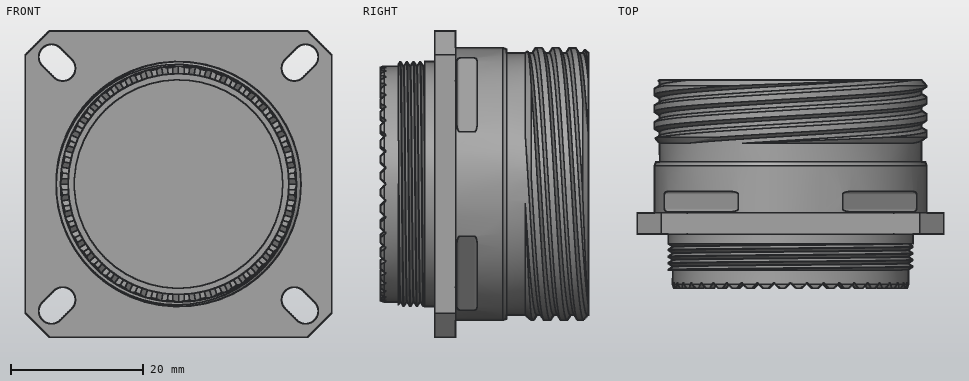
import cadquery as cq
import math

flange_side = 46.3
flange_thickness = 3.2
corner_chamfer = 3.65
slot_centre = 18.35
slot_radius = 1.9
slot_run = 2.4

body_radius = 20.6
body_length = 7.7
body_chamfer_radial = 0.25
body_chamfer_axial = 0.6
barrel_radius = 19.8
barrel_length = 20.1
body_start = flange_thickness
body_end = body_start + body_length
coupling_end = body_start + barrel_length

flat_distance = 19.05
flat_width = 3.05
flat_gap = 0.2
flat_fillet = 0.45

coupling_starts = 3
coupling_lead = 7.62
coupling_pitch = coupling_lead / coupling_starts
coupling_thread_length = 9.6
coupling_base_width = 1.9
coupling_crest_width = 0.9
coupling_runout = 0.93
coupling_crest_offset = 0.55

neck_radius = 18.5
neck_length = 1.5
front_radius = 17.83
front_length = 8.2
front_chamfer_radial = 0.2
front_chamfer_axial = 0.6
front_crest_radius = 18.47
front_thread_pitch = 1.0
front_thread_end = 5.45
front_base_width = 0.93
front_crest_width = 0.1
front_crest_offset = 2.9

tooth_count = 44
tooth_depth = 0.85
rim_inner_radius = 16.65
insert_radius = 15.75
ring_floor_depth = 1.4
insert_depth = 0.75

ridge_overshoot = 0.05
clearance = 0.45


def cylinder(radius, start, end):
    """Cylinder on the Y axis between two Y positions."""
    return cq.Workplane("XZ", origin=(0, start, 0)).circle(radius).extrude(start - end)


def thread_ridge(root, crest, base_width, crest_width, lead, start, end):
    """Right-handed ridge around the Y axis that begins on the +X side.

    Its flanks run on past the root, into the core, and past the crest, to be trimmed there.
    """
    flank_run = (base_width - crest_width) / 2 / (crest - root)
    foot = root - ridge_overshoot
    top = crest + ridge_overshoot
    half_foot = base_width / 2 + flank_run * ridge_overshoot
    half_top = crest_width / 2 - flank_run * ridge_overshoot
    outline = [(foot, -half_foot), (top, -half_top), (top, half_top), (foot, half_foot)]
    helix = cq.Wire.makeHelix(lead, end - start, root)
    ridge = cq.Workplane("XZ").polyline(outline).close().sweep(helix, isFrenet=True)
    return ridge.rotate((0, 0, 0), (1, 0, 0), -90).translate((0, start, 0))


def make_flange():
    flange = (
        cq.Workplane("XZ")
        .rect(flange_side, flange_side)
        .extrude(-flange_thickness)
        .edges("|Y")
        .chamfer(corner_chamfer)
    )
    for quarter in range(4):
        angle = 45 + 90 * quarter
        distance = slot_centre * math.sqrt(2)
        slot = (
            cq.Workplane("XZ")
            .center(distance, 0)
            .slot2D(slot_run + 2 * slot_radius, 2 * slot_radius)
            .extrude(-flange_thickness)
            .rotate((0, 0, 0), (0, 1, 0), angle)
        )
        flange = flange.cut(slot)
    return flange


def make_body():
    body = (
        cq.Workplane("XY")
        .moveTo(0, body_start)
        .lineTo(body_radius, body_start)
        .lineTo(body_radius, body_end - body_chamfer_axial)
        .lineTo(body_radius - body_chamfer_radial, body_end)
        .lineTo(barrel_radius, body_end)
        .lineTo(barrel_radius, coupling_end)
        .lineTo(0, coupling_end)
        .close()
        .revolve(360, (0, 0, 0), (0, 1, 0))
    )
    block_height = 2 * (body_radius - flat_distance)
    flat_block = (
        cq.Workplane("XY")
        .box(block_height, flat_width, 2 * body_radius, centered=(False, False, True))
        .edges("<X and |Z")
        .fillet(flat_fillet)
        .translate((flat_distance, body_start + flat_gap, 0))
    )
    for quarter in range(4):
        body = body.cut(flat_block.rotate((0, 0, 0), (0, 1, 0), 45 + 90 * quarter))
    return body


def add_coupling_thread(part):
    thread_start = coupling_end - coupling_thread_length
    envelope = (
        cq.Workplane("XY")
        .moveTo(0, thread_start)
        .lineTo(barrel_radius, thread_start)
        .lineTo(body_radius, thread_start + coupling_runout)
        .lineTo(body_radius, coupling_end - coupling_runout)
        .lineTo(barrel_radius, coupling_end)
        .lineTo(0, coupling_end)
        .close()
        .revolve(360, (0, 0, 0), (0, 1, 0))
    )
    ridge_start = coupling_end - coupling_crest_offset - 4 * coupling_pitch
    ridge_end = coupling_end + coupling_base_width
    ridge = thread_ridge(
        barrel_radius, body_radius, coupling_base_width, coupling_crest_width,
        coupling_lead, ridge_start, ridge_end,
    ).intersect(envelope)
    for start in range(coupling_starts):
        part = part.union(ridge.rotate((0, 0, 0), (0, 1, 0), 360 / coupling_starts * start))
    return part


def make_front():
    front = (
        cylinder(front_radius, -front_length, 0)
        .faces("<Y")
        .chamfer(front_chamfer_axial, front_chamfer_radial)
    )
    front = front.union(cylinder(neck_radius, -neck_length, 0))
    envelope = cylinder(front_crest_radius, -front_thread_end, -neck_length / 2)
    ridge = thread_ridge(
        front_radius, front_crest_radius, front_base_width, front_crest_width,
        front_thread_pitch, -front_crest_offset - 3 * front_thread_pitch, -neck_length / 2,
    )
    return front.union(ridge.intersect(envelope))


def cut_rim(part):
    tip = -front_length
    recess = cylinder(rim_inner_radius, tip - clearance, tip + ring_floor_depth)
    insert = cylinder(insert_radius, tip + insert_depth, tip + ring_floor_depth)
    part = part.cut(recess).union(insert)
    half_mouth = tooth_depth + clearance
    gap = (
        cq.Workplane("YZ", origin=(insert_radius, 0, 0))
        .polyline([(tip + tooth_depth, 0), (tip - clearance, half_mouth), (tip - clearance, -half_mouth)])
        .close()
        .extrude(neck_radius - insert_radius)
    )
    gaps = [gap.rotate((0, 0, 0), (0, 1, 0), 360 / tooth_count * i).val() for i in range(tooth_count)]
    rim = cylinder(neck_radius, tip, tip + ring_floor_depth).cut(
        cylinder(rim_inner_radius, tip, tip + ring_floor_depth)
    )
    return part.cut(rim.intersect(cq.Workplane(obj=cq.Compound.makeCompound(gaps))))


result = add_coupling_thread(make_flange().union(make_body()))
result = result.union(cut_rim(make_front()))